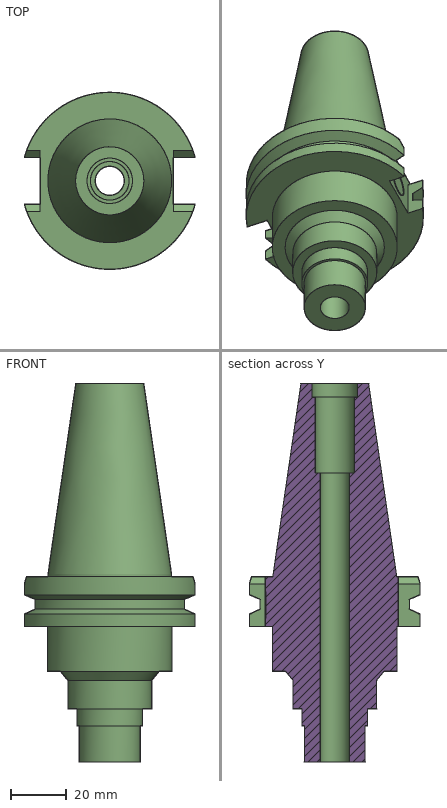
import cadquery as cq

total_height = 135.6
taper_start_z = 67.3
taper_end_radius = 12.2
taper_ratio = 7 / 24
taper_base_radius = taper_end_radius + (total_height - taper_start_z) * taper_ratio / 2

flange_radius = 31.7
flange_bottom_z = 48.5
flange_top_z = 66.5
groove_radius = 28.1
groove_lip_bottom_z = 53.0
groove_floor_bottom_z = 54.8
groove_floor_top_z = 58.3
groove_lip_top_z = 60.0

body_radius = 22.4
body_bottom_z = 32.5
neck_cone_radius = 17.8
neck_radius = 15.0
neck_cone_bottom_z = 29.3
neck_bottom_z = 19.1
collar_radius = 11.8
collar_bottom_z = 13.0
nose_radius = 11.0

through_radius = 5.2
thread_radius = 6.9
thread_depth = 32.0
mouth_radius = 8.1
mouth_depth = 4.9

slot_width = 16.7
left_slot_floor = 25.0
right_slot_floor = 22.8
slot_chamfer = 2.6

recess_radius = 4.7
recess_z = 56.3
recess_depth = 0.3


def make_body():
    """Revolve the outer profile, given as (radius, z), about Z."""
    profile = [
        (0, 0),
        (nose_radius, 0),
        (nose_radius, collar_bottom_z),
        (collar_radius, collar_bottom_z),
        (collar_radius, neck_bottom_z),
        (neck_radius, neck_bottom_z),
        (neck_radius, neck_cone_bottom_z),
        (neck_cone_radius, body_bottom_z),
        (body_radius, body_bottom_z),
        (body_radius, flange_bottom_z),
        (flange_radius, flange_bottom_z),
        (flange_radius, groove_lip_bottom_z),
        (groove_radius, groove_floor_bottom_z),
        (groove_radius, groove_floor_top_z),
        (flange_radius, groove_lip_top_z),
        (flange_radius, flange_top_z),
        (taper_base_radius, flange_top_z),
        (taper_base_radius, taper_start_z),
        (taper_end_radius, total_height),
        (0, total_height),
    ]
    return cq.Workplane("XZ").polyline(profile).close().revolve(360, (0, 0, 0), (0, 1, 0))


def make_bore():
    """Through hole with a wider threaded length and a mouth counterbore."""
    through = cq.Workplane("XY").circle(through_radius).extrude(total_height)
    top = cq.Workplane("XY").workplane(offset=total_height)
    thread = top.circle(thread_radius).extrude(-thread_depth)
    mouth = top.circle(mouth_radius).extrude(-mouth_depth)
    return through.union(thread).union(mouth)


def make_slot(floor_x):
    """Slot on the +X side, chamfered at its top edges."""
    half_width = slot_width / 2
    mouth_half_width = half_width + slot_chamfer
    section = [
        (-half_width, flange_bottom_z),
        (half_width, flange_bottom_z),
        (half_width, flange_top_z - slot_chamfer),
        (mouth_half_width, flange_top_z),
        (-mouth_half_width, flange_top_z),
        (-half_width, flange_top_z - slot_chamfer),
    ]
    floor = cq.Workplane("YZ").workplane(offset=floor_x)
    return floor.polyline(section).close().extrude(flange_radius - floor_x)


def make_recess():
    """Round recess cut inwards from the floor of the -X slot."""
    floor = cq.Workplane("YZ").workplane(offset=-left_slot_floor)
    return floor.center(0, recess_z).circle(recess_radius).extrude(recess_depth)


left_slot = make_slot(left_slot_floor).rotate((0, 0, 0), (0, 0, 1), 180)
right_slot = make_slot(right_slot_floor)
result = make_body().cut(make_bore()).cut(left_slot).cut(right_slot).cut(make_recess())